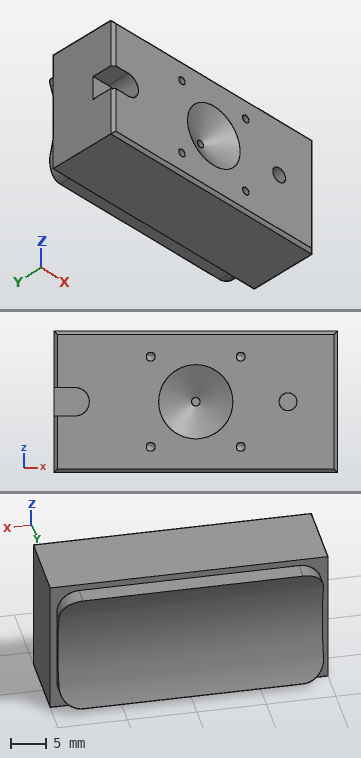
import cadquery as cq
import math

BLOCK_LENGTH = 40.0
BLOCK_DEPTH = 12.0
BLOCK_HEIGHT = 20.0
FRONT_CHAMFER = 0.5

FUNNEL_DIAMETER = 10.45
FUNNEL_ANGLE = 120.0
BORE_DIAMETER = 1.2

SCREW_DIAMETER = 1.25
SCREW_SPACING = 12.7
SCREW_DEPTH = 4.0
DRILL_POINT_ANGLE = 118.0

LOCATING_DEPTH = 4.0
LOCATING_HOLE_DIAMETER = 2.5
LOCATING_HOLE_X = 13.0
SLOT_WIDTH = 4.0
SLOT_LENGTH = 5.0

PAD_MARGIN = 0.96
PAD_LENGTH = BLOCK_LENGTH - 2 * PAD_MARGIN
PAD_HEIGHT = BLOCK_HEIGHT - 2 * PAD_MARGIN
PAD_CORNER_RADIUS = 3.2
PAD_EDGE_THICKNESS = 2.79
SADDLE_RADIUS = 20.0


def cone_length(diameter, included_angle):
    """Length of a full cone with the given base diameter and included angle."""
    return diameter / 2 / math.tan(math.radians(included_angle / 2))


def front_plane(x=0.0, z=0.0):
    """Workplane on the front face, centred at (x, z), whose normal goes into the block (+Y)."""
    return cq.Workplane(cq.Plane(origin=(x, 0, z), xDir=(1, 0, 0), normal=(0, 1, 0)))


def round_cut(diameter, depth, x=0.0, z=0.0):
    """Flat-bottomed round cutter entering from the front face."""
    return front_plane(x, z).circle(diameter / 2).extrude(depth)


def cone_cut(diameter, included_angle, x=0.0, y=0.0, z=0.0):
    """Pointed cutter with its base at depth y and its tip towards +Y."""
    height = cone_length(diameter, included_angle)
    cone = cq.Solid.makeCone(diameter / 2, 0, height, pnt=cq.Vector(x, y, z), dir=cq.Vector(0, 1, 0))
    return cq.Workplane(obj=cone)


def make_blank():
    blank = cq.Workplane("XY").box(BLOCK_LENGTH, BLOCK_DEPTH, BLOCK_HEIGHT)
    return blank.translate((0, BLOCK_DEPTH / 2, 0)).faces("<Y").chamfer(FRONT_CHAMFER)


def cut_funnel(block):
    block = block.cut(cone_cut(FUNNEL_DIAMETER, FUNNEL_ANGLE))
    return block.cut(round_cut(BORE_DIAMETER, BLOCK_DEPTH))


def cut_screw_holes(block):
    offset = SCREW_SPACING / 2
    for x in (-offset, offset):
        for z in (-offset, offset):
            block = block.cut(round_cut(SCREW_DIAMETER, SCREW_DEPTH, x, z))
            block = block.cut(cone_cut(SCREW_DIAMETER, DRILL_POINT_ANGLE, x, SCREW_DEPTH, z))
    return block


def cut_locating_features(block):
    block = block.cut(round_cut(LOCATING_HOLE_DIAMETER, LOCATING_DEPTH, LOCATING_HOLE_X))
    end_x = -BLOCK_LENGTH / 2
    straight_length = SLOT_LENGTH - SLOT_WIDTH / 2
    channel = front_plane(end_x + straight_length / 2).rect(straight_length, SLOT_WIDTH).extrude(LOCATING_DEPTH)
    round_end = round_cut(SLOT_WIDTH, LOCATING_DEPTH, end_x + straight_length)
    return block.cut(channel.union(round_end))


def make_block():
    block = cut_funnel(make_blank())
    block = cut_screw_holes(block)
    return cut_locating_features(block)


def make_pad():
    pad = cq.Workplane("XY").box(PAD_LENGTH, PAD_EDGE_THICKNESS, PAD_HEIGHT)
    pad = pad.translate((0, BLOCK_DEPTH + PAD_EDGE_THICKNESS / 2, 0))
    pad = pad.edges("|Y").fillet(PAD_CORNER_RADIUS)
    back_y = BLOCK_DEPTH + PAD_EDGE_THICKNESS
    axis_y = back_y + math.sqrt(SADDLE_RADIUS**2 - (PAD_HEIGHT / 2) ** 2)
    saddle = cq.Workplane("YZ").center(axis_y, 0).circle(SADDLE_RADIUS).extrude(PAD_LENGTH / 2, both=True)
    return pad.cut(saddle)


block = make_block()
pad = make_pad()

result = cq.Compound.makeCompound([block.val(), pad.val()])